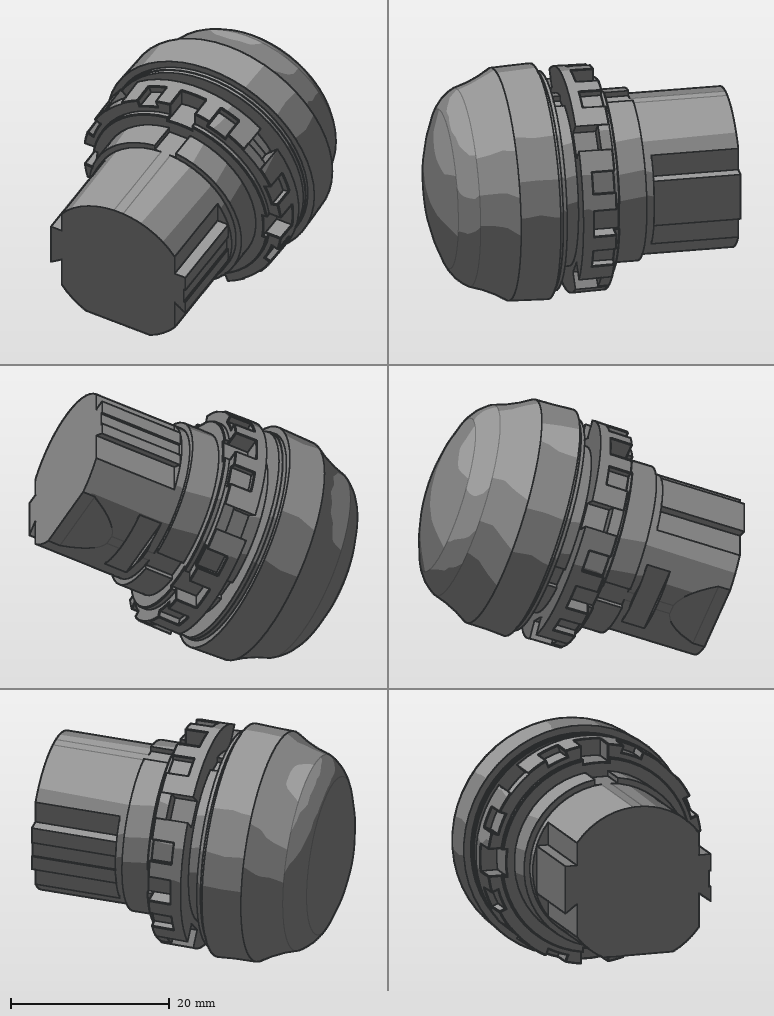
import cadquery as cq
import math


DOME_APEX_Y = 38.55
DOME_RIM_Y = 36.28
DOME_RIM_RADIUS = 10.1
SHOULDER_Y = 33.9
SHOULDER_RADIUS = 12.55
FLARE_MID_Y = 31.45
FLARE_MID_RADIUS = 13.4
CAP_WALL_TOP_Y = 29.05
CAP_WALL_TOP_RADIUS = 14.73
CAP_BASE_Y = 24.0
CAP_RADIUS = 29.85 / 2

GASKET_STEP_Y = 23.5
GASKET_END_Y = 23.0
GASKET_LARGE_RADIUS = 28.0 / 2
GASKET_SMALL_RADIUS = 27.8 / 2

NECK_RADIUS = 10.95
NECK_END_Y = 12.25
BODY_RADIUS = 10.18
COLLAR_END_Y = 11.15
KEYWAY_WIDTH = 3.0
KEYWAY_BODY_FLAT_WIDTH = 1.3
SIDE_FLAT_X = 8.15

LUG_OUTER_X = 9.68
LUG_TOP_Z = 3.2
LUG_ROOT_BOTTOM_Z = -1.8
LUG_TIP_BOTTOM_Z = -2.93
LUG_NOTCH_WIDTH = 2.1
LUG_NOTCH_DEPTH = 0.25

LATCH_FLOOR_Z = -9.05
LATCH_CATCH_Y = 8.1
LATCH_RAMP_TOP_Y = 6.3
LATCH_RAMP_END_Y = 1.6
COLLAR_LIP_CHAMFER = 0.2

NUT_TOP_Y = 21.0
NUT_END_Y = 16.7
NUT_TOP_RADIUS = 14.35
NUT_END_RADIUS = 14.25
NUT_EDGE_CHAMFER = 0.1
FLANGE_END_Y = 16.0
FLANGE_RADIUS = 12.6
RECESS_TOP_Y = 19.6
NOTCH_WIDTH = 3.47
NOTCH_FLOOR_RADIUS = 12.05
POCKET_WIDTH = 2.7
POCKET_FLOOR_RADIUS = 13.38
POCKET_ANGLE = 21.5
SLOT_WIDTH = 3.4
SLOT_FLOOR_DISTANCE = 11.87
SLOT_SILL_RADIUS = 14.1
SLOT_SILL_Y = 18.1

CLEAR = 1.93


def block(x_range, y_range, z_range):
    """Box between the given limits on each axis."""
    low, high = zip(x_range, y_range, z_range)
    size = [b - a for a, b in zip(low, high)]
    return cq.Workplane("XY").box(*size, centered=False).translate(low)


def turned(outline):
    """Solid turned about Y from an outline left open before its last side."""
    return outline.close().revolve(360, (0, 0, 0), (0, 1, 0))


def disc(radius, y_start, y_end):
    """Cylinder on the Y axis, from y_start forward to y_end."""
    return cq.Workplane("XZ", origin=(0, y_start, 0)).circle(radius).extrude(y_start - y_end)


def around_y(shape, angle):
    """Copy of a shape turned about the Y axis."""
    return shape.rotate((0, 0, 0), (0, 1, 0), angle)


def make_cap():
    """Domed cap with the stepped gasket at its base."""
    dome_height = DOME_APEX_Y - DOME_RIM_Y
    dome_radius = (DOME_RIM_RADIUS**2 + dome_height**2) / (2 * dome_height)
    half_angle = math.asin(DOME_RIM_RADIUS / dome_radius) / 2
    dome_mid = (
        dome_radius * math.sin(half_angle),
        DOME_APEX_Y - dome_radius * (1 - math.cos(half_angle)),
    )
    outline = (
        cq.Workplane("XY")
        .moveTo(0, DOME_APEX_Y)
        .threePointArc(dome_mid, (DOME_RIM_RADIUS, DOME_RIM_Y))
        .tangentArcPoint((SHOULDER_RADIUS, SHOULDER_Y), relative=False)
        .threePointArc((FLARE_MID_RADIUS, FLARE_MID_Y), (CAP_WALL_TOP_RADIUS, CAP_WALL_TOP_Y))
        .lineTo(CAP_RADIUS, CAP_BASE_Y)
        .lineTo(GASKET_LARGE_RADIUS, CAP_BASE_Y)
        .lineTo(GASKET_LARGE_RADIUS, GASKET_STEP_Y)
        .lineTo(GASKET_SMALL_RADIUS, GASKET_STEP_Y)
        .lineTo(GASKET_SMALL_RADIUS, GASKET_END_Y)
        .lineTo(0, GASKET_END_Y)
    )
    return turned(outline)


def make_lug():
    """Lug on the +X side flat, with a dovetailed lower edge."""
    outline = [
        (0, LUG_TOP_Z),
        (LUG_OUTER_X, LUG_TOP_Z),
        (LUG_OUTER_X, LUG_TIP_BOTTOM_Z),
        (SIDE_FLAT_X, LUG_ROOT_BOTTOM_Z),
        (0, LUG_ROOT_BOTTOM_Z),
    ]
    return cq.Workplane("XZ").polyline(outline).close().extrude(-COLLAR_END_Y)


def latch_cuts():
    """Gap behind the collar lip and the ramp in front of the catch, under the body."""
    depth = CLEAR + BODY_RADIUS + LATCH_FLOOR_Z
    lip_z = COLLAR_LIP_CHAMFER - BODY_RADIUS
    gap = [
        (LATCH_CATCH_Y, LATCH_FLOOR_Z),
        (COLLAR_END_Y, LATCH_FLOOR_Z),
        (COLLAR_END_Y, lip_z),
        (COLLAR_END_Y + CLEAR, lip_z - CLEAR),
        (LATCH_CATCH_Y, lip_z - CLEAR),
    ]
    ramp_run = (LATCH_RAMP_TOP_Y - LATCH_RAMP_END_Y) / (BODY_RADIUS + LATCH_FLOOR_Z)
    ramp = [
        (-CLEAR, LATCH_FLOOR_Z),
        (LATCH_RAMP_END_Y, LATCH_FLOOR_Z),
        (LATCH_RAMP_END_Y + ramp_run * depth, LATCH_FLOOR_Z - depth),
        (-CLEAR, LATCH_FLOOR_Z - depth),
    ]
    return [
        cq.Workplane("YZ").polyline(outline).close().extrude(BODY_RADIUS, both=True)
        for outline in (gap, ramp)
    ]


def make_body():
    """Rear body with two side flats, a lug on each flat and the latch underneath."""
    body = disc(BODY_RADIUS, 0, NECK_END_Y)
    for side in (-1, 1):
        outside = sorted((side * SIDE_FLAT_X, side * (BODY_RADIUS + CLEAR)))
        body = body.cut(block(outside, (-CLEAR, COLLAR_END_Y), (-BODY_RADIUS, BODY_RADIUS)))
    for cutter in latch_cuts():
        body = body.cut(cutter)
    lug = make_lug()
    notch = block(
        (LUG_OUTER_X - LUG_NOTCH_DEPTH, LUG_OUTER_X + CLEAR),
        (-CLEAR, COLLAR_END_Y),
        (-LUG_NOTCH_WIDTH / 2, LUG_NOTCH_WIDTH / 2),
    )
    return body.union(lug.mirror("YZ")).union(lug.cut(notch))


def cut_keyways(shape):
    """Flat-bottomed keyways along the top and the bottom of the neck, skimming the body."""
    floor = math.sqrt(BODY_RADIUS**2 - (KEYWAY_BODY_FLAT_WIDTH / 2)**2)
    half_width = KEYWAY_WIDTH / 2
    keyway = block((-half_width, half_width), (-CLEAR, GASKET_END_Y), (floor, NECK_RADIUS + CLEAR))
    return shape.cut(keyway).cut(around_y(keyway, 180))


def flat_cutter(width, floor_z, y_range):
    """Radial cutter on the +Z side of the nut, with a flat floor."""
    return block((-width / 2, width / 2), y_range, (floor_z, NUT_TOP_RADIUS + CLEAR))


def round_cutter(width, floor_radius, y_range):
    """Radial cutter on the +Z side of the nut, with a floor round about the Y axis."""
    return flat_cutter(width, 0, y_range).cut(disc(floor_radius, *y_range))


def recess_bevel(width):
    """Cutter that bevels the front edge of a recess where it opens on the rim of the nut."""
    along = (RECESS_TOP_Y - NUT_END_Y) / (NUT_TOP_Y - NUT_END_Y)
    rim_radius = NUT_END_RADIUS + along * (NUT_TOP_RADIUS - NUT_END_RADIUS)
    inner = rim_radius - NUT_EDGE_CHAMFER
    outer = rim_radius + NUT_EDGE_CHAMFER
    outline = [
        (inner, RECESS_TOP_Y),
        (outer, RECESS_TOP_Y + 2 * NUT_EDGE_CHAMFER),
        (outer, RECESS_TOP_Y - NUT_EDGE_CHAMFER),
        (inner, RECESS_TOP_Y - NUT_EDGE_CHAMFER),
    ]
    bevel_ring = turned(cq.Workplane("XY").polyline(outline))
    return bevel_ring.intersect(flat_cutter(width, 0, (NUT_END_Y, NUT_TOP_Y)))


def is_chamfered_edge(edge):
    """True for a rear face edge or a recess side edge on the rim of the nut."""
    points = [edge.positionAt(t) for t in (0, 0.5, 1)]
    tolerance = 0.005
    on_rim = all(math.hypot(p.x, p.z) > NUT_END_RADIUS - tolerance for p in points)
    on_end = all(p.y < NUT_END_Y + tolerance for p in points)
    on_notch_floor = all(math.hypot(p.x, p.z) < NOTCH_FLOOR_RADIUS + tolerance for p in points)
    rises_from_end = min(p.y for p in points) < NUT_END_Y + tolerance
    reaches_front = max(p.y for p in points) > NUT_TOP_Y - tolerance
    on_recess_side = on_rim and rises_from_end and not reaches_front
    return (on_end and not on_notch_floor) or on_recess_side


def make_nut():
    """Flanged nut with notches, pockets and slots around its rim."""
    outline = (
        cq.Workplane("XY")
        .moveTo(0, NUT_TOP_Y)
        .lineTo(NUT_TOP_RADIUS, NUT_TOP_Y)
        .lineTo(NUT_END_RADIUS, NUT_END_Y)
        .lineTo(0, NUT_END_Y)
    )
    ring = around_y(turned(outline), 45)
    flange = disc(FLANGE_RADIUS, FLANGE_END_Y, NUT_END_Y)
    notch = round_cutter(NOTCH_WIDTH, NOTCH_FLOOR_RADIUS, (FLANGE_END_Y, RECESS_TOP_Y))
    pocket = round_cutter(POCKET_WIDTH, POCKET_FLOOR_RADIUS, (NUT_END_Y, RECESS_TOP_Y))
    slot = flat_cutter(SLOT_WIDTH, SLOT_FLOOR_DISTANCE, (SLOT_SILL_Y, NUT_TOP_Y))
    slot_mouth = round_cutter(SLOT_WIDTH, SLOT_SILL_RADIUS, (NUT_END_Y, SLOT_SILL_Y))
    recesses = []
    for quarter in (0, 90, 180, 270):
        recesses.append((quarter, notch, NOTCH_WIDTH))
        recesses.append((quarter - POCKET_ANGLE, pocket, POCKET_WIDTH))
        recesses.append((quarter + POCKET_ANGLE, pocket, POCKET_WIDTH))
        flange = flange.cut(around_y(notch, quarter))
    for angle, recess, _ in recesses:
        ring = ring.cut(around_y(recess, angle))
    ring = ring.edges().filter(is_chamfered_edge).chamfer(NUT_EDGE_CHAMFER)
    flange = flange.faces("<Y").chamfer(NUT_EDGE_CHAMFER)
    for angle, _, width in recesses:
        ring = ring.cut(around_y(recess_bevel(width), angle))
    for angle in (45, 135, 225, 315):
        ring = ring.cut(around_y(slot, angle))
        ring = ring.cut(around_y(slot_mouth, angle))
    return ring.union(flange)


neck = disc(NECK_RADIUS, NECK_END_Y, GASKET_END_Y)
stem = cut_keyways(neck.union(make_body()))
result = make_cap().union(stem).union(make_nut())